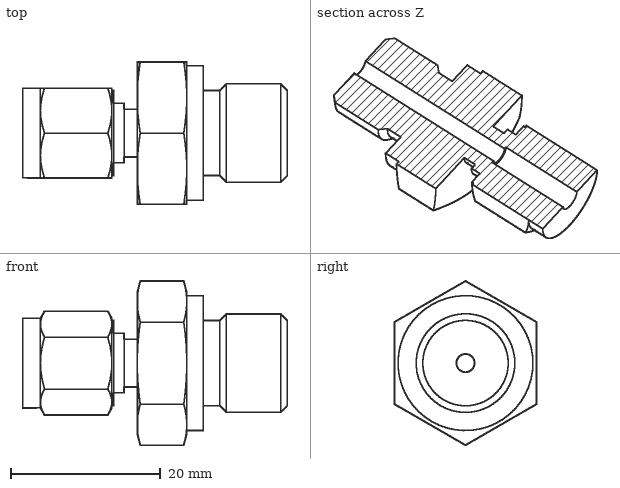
import cadquery as cq
import math


length = 35.3
nut_start = 2.35
nut_end = 11.9
nut_rim_end = 12.15
sleeve_end = 13.52
hexagon_start = 15.3
hexagon_end = 21.9
collar_end = 24.1
thread_start = 26.3

nut_flats = 12.0
hexagon_flats = 19.0

nut_rim_diameter = 11.4
sleeve_diameter = 7.98
neck_diameter = 6.42
collar_diameter = 18.0
thread_diameter = 13.15
thread_root_diameter = 11.4
bore_diameter = 2.4
tube_socket_diameter = 3.0

thread_chamfer_length = (thread_diameter - thread_root_diameter) / 2
nut_chamfer_angle = 30.0
hexagon_chamfer_angle = 15.0
tube_socket_depth = nut_end


def cylinder(start, end, diameter):
    """Solid round bar along X from start to end."""
    return cq.Workplane("YZ").workplane(offset=start).circle(diameter / 2).extrude(end - start)


def chamfered_hexagon(start, end, flats, chamfer_angle):
    """Hexagonal prism along X, corners up and down, turned to a cone at both ends."""
    corner_radius = flats / math.sqrt(3)
    flat_radius = flats / 2
    chamfer_length = (corner_radius - flat_radius) * math.tan(math.radians(chamfer_angle))
    prism = (
        cq.Workplane("YZ")
        .workplane(offset=start)
        .polygon(6, 2 * corner_radius)
        .extrude(end - start)
        .rotate((0, 0, 0), (1, 0, 0), 90)
    )
    turned_blank = (
        cq.Workplane("XY")
        .moveTo(start, 0)
        .lineTo(start, flat_radius)
        .lineTo(start + chamfer_length, corner_radius)
        .lineTo(end - chamfer_length, corner_radius)
        .lineTo(end, flat_radius)
        .lineTo(end, 0)
        .close()
        .revolve(360, (0, 0, 0), (1, 0, 0))
    )
    return prism.intersect(turned_blank)


def threaded_end():
    """Plain thread envelope with a root-diameter relief and a cone at each end."""
    root_radius = thread_root_diameter / 2
    thread_radius = thread_diameter / 2
    return (
        cq.Workplane("XY")
        .moveTo(collar_end, 0)
        .lineTo(collar_end, root_radius)
        .lineTo(thread_start, root_radius)
        .lineTo(thread_start + thread_chamfer_length, thread_radius)
        .lineTo(length - thread_chamfer_length, thread_radius)
        .lineTo(length, root_radius)
        .lineTo(length, 0)
        .close()
        .revolve(360, (0, 0, 0), (1, 0, 0))
    )


nut = (
    cylinder(0, nut_start, nut_flats)
    .union(chamfered_hexagon(nut_start, nut_end, nut_flats, nut_chamfer_angle))
    .union(cylinder(nut_end, nut_rim_end, nut_rim_diameter))
)

body = (
    cylinder(nut_rim_end, sleeve_end, sleeve_diameter)
    .union(cylinder(sleeve_end, hexagon_start, neck_diameter))
    .union(chamfered_hexagon(hexagon_start, hexagon_end, hexagon_flats, hexagon_chamfer_angle))
    .union(cylinder(hexagon_end, collar_end, collar_diameter))
    .union(threaded_end())
)

bore = cylinder(0, length, bore_diameter)
tube_socket = cylinder(0, tube_socket_depth, tube_socket_diameter)

result = nut.union(body).cut(bore).cut(tube_socket)